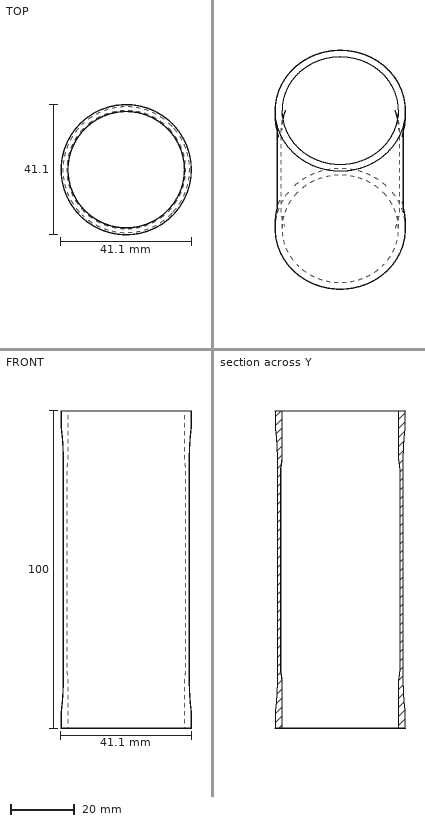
import cadquery as cq

length = 100.0
collar_radius = 41.1 / 2
tube_radius = 19.9

collar_height = 5.0
flare_height = 10.0
flare_end = collar_height + flare_height

socket_radius = 18.3
bore_radius = 18.7
socket_depth = 15.0
cone_height = 3.0
cone_end = socket_depth + cone_height

flare_step = collar_radius - tube_radius
flare_arc_radius = (flare_height**2 + flare_step**2) / (2 * flare_step)


def make_body():
    """Solid outside shape with a flared collar at both ends."""
    return (
        cq.Workplane("XZ")
        .lineTo(collar_radius, 0)
        .lineTo(collar_radius, collar_height)
        .radiusArc((tube_radius, flare_end), flare_arc_radius)
        .lineTo(tube_radius, length - flare_end)
        .radiusArc((collar_radius, length - collar_height), flare_arc_radius)
        .lineTo(collar_radius, length)
        .lineTo(0, length)
        .close()
        .revolve(360, (0, 0, 0), (0, 1, 0))
    )


def make_bore():
    """Hollow inside with a socket at both ends."""
    return (
        cq.Workplane("XZ")
        .lineTo(socket_radius, 0)
        .lineTo(socket_radius, socket_depth)
        .lineTo(bore_radius, cone_end)
        .lineTo(bore_radius, length - cone_end)
        .lineTo(socket_radius, length - socket_depth)
        .lineTo(socket_radius, length)
        .lineTo(0, length)
        .close()
        .revolve(360, (0, 0, 0), (0, 1, 0))
    )


result = make_body().cut(make_bore())